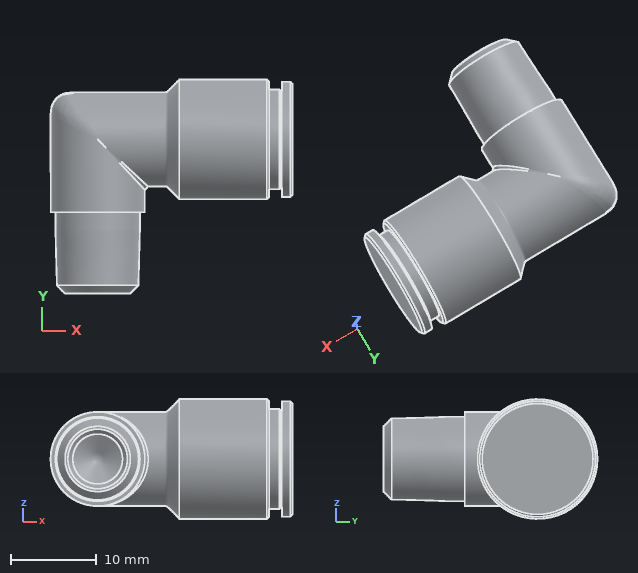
import cadquery as cq
import math

arm_radius = 5.5
corner_round = 0.53
inner_blend = 0.07
shoulder_y = -8.5

stub_end_y = -18.0
stub_root_radius = 4.95
stub_end_radius = 4.77
taper_start_y = -10.65
tip_chamfer = 0.95
tip_radius = stub_end_radius - tip_chamfer

bore_radius = 2.9
mouth_chamfer = 0.56
bore_bottom_y = 0.0
drill_half_angle = math.radians(59)

socket_radius = 7.0
socket_start_x = 9.55
socket_end_x = 20.0
socket_chamfer = 0.25
neck_fillet = 0.48
cone_angle = math.radians(45)
cone_start_x = socket_start_x - (socket_radius - arm_radius)
fillet_start_x = cone_start_x - neck_fillet * math.tan(cone_angle / 2)

collar_end_x = 22.75
collar_neck_radius = 5.85
collar_groove_radius = 5.68
neck_end_x = 21.22
flange_start_x = 21.5
flange_radius = 6.75
flange_chamfer = 0.28


def wedge(*corners):
    """Tall prism over the given XY corners, used to keep one sector of a solid."""
    height = 4 * arm_radius
    return cq.Workplane("XY").polyline(corners).close().extrude(height / 2, both=True)


def outer_corner():
    """Ellipsoid tangent to both arm cylinders, rounding the outside of the bend."""
    long_scale = math.sqrt(1 + corner_round)
    short_scale = math.sqrt(1 - corner_round)
    stretch = cq.Matrix([[long_scale, 0, 0, 0], [0, short_scale, 0, 0], [0, 0, 1, 0]])
    ball = cq.Workplane("XY").sphere(arm_radius).val().transformGeometry(stretch)
    return cq.Workplane(ball).rotate((0, 0, 0), (0, 0, 1), 135)


def inner_corner():
    """Elliptical cylinder square to the mitre, filling the crease inside the bend."""
    reach = arm_radius * (2 + inner_blend) / math.sqrt(2)
    crease_plane = cq.Plane(origin=(0, 0, 0), xDir=(1, -1, 0), normal=(1, 1, 0))
    return cq.Workplane(crease_plane).ellipse(reach, arm_radius).extrude(arm_radius, both=True)


def elbow():
    side = 2 * arm_radius
    center = (0, 0)
    outer_on_x_arm = (-corner_round * side, side)
    outer_on_y_arm = (-side, corner_round * side)
    inner_on_x_arm = ((1 + inner_blend) * side, -side)
    inner_on_y_arm = (side, -(1 + inner_blend) * side)

    x_arm = cq.Workplane("YZ").workplane(offset=-side).circle(arm_radius).extrude(side + fillet_start_x)
    x_arm = x_arm.intersect(wedge(center, outer_on_x_arm, (side, side), inner_on_x_arm))
    y_arm = cq.Workplane("XZ").workplane(offset=-side).circle(arm_radius).extrude(side - shoulder_y)
    y_arm = y_arm.intersect(wedge(center, inner_on_y_arm, (-side, -side), outer_on_y_arm))
    outside = outer_corner().intersect(wedge(center, outer_on_x_arm, (-side, side), outer_on_y_arm))
    inside = inner_corner().intersect(wedge(center, inner_on_x_arm, inner_on_y_arm))

    skin = x_arm.faces("%CYLINDER or >X").vals() + y_arm.faces("%CYLINDER or <Y").vals()
    skin += outside.faces("not %PLANE").vals() + inside.faces("not %PLANE").vals()
    return cq.Workplane(cq.Solid.makeSolid(cq.Shell.makeShell(skin)))


def stub():
    profile = [
        (0, shoulder_y),
        (stub_root_radius, shoulder_y),
        (stub_root_radius, taper_start_y),
        (stub_end_radius, stub_end_y + tip_chamfer),
        (tip_radius, stub_end_y),
        (0, stub_end_y),
    ]
    return cq.Workplane("XY").polyline(profile).close().revolve(360, (0, 0), (0, 1))


def bore():
    profile = [
        (0, stub_end_y),
        (bore_radius + mouth_chamfer, stub_end_y),
        (bore_radius, stub_end_y + mouth_chamfer),
        (bore_radius, bore_bottom_y),
        (0, bore_bottom_y + bore_radius / math.tan(drill_half_angle)),
    ]
    return cq.Workplane("XY").polyline(profile).close().revolve(360, (0, 0), (0, 1))


def socket():
    fillet_rise = neck_fillet * (1 - math.cos(cone_angle))
    fillet_middle = (
        fillet_start_x + neck_fillet * math.sin(cone_angle / 2),
        arm_radius + neck_fillet * (1 - math.cos(cone_angle / 2)),
    )
    fillet_end = (fillet_start_x + neck_fillet * math.sin(cone_angle), arm_radius + fillet_rise)
    groove_x = neck_end_x + collar_neck_radius - collar_groove_radius
    outline = (
        cq.Workplane("XY")
        .moveTo(fillet_start_x, 0)
        .lineTo(fillet_start_x, arm_radius)
        .threePointArc(fillet_middle, fillet_end)
        .lineTo(socket_start_x, socket_radius)
        .lineTo(socket_end_x - socket_chamfer, socket_radius)
        .lineTo(socket_end_x, socket_radius - socket_chamfer)
        .lineTo(socket_end_x, collar_neck_radius)
        .lineTo(neck_end_x, collar_neck_radius)
        .lineTo(groove_x, collar_groove_radius)
        .lineTo(flange_start_x, collar_groove_radius)
        .lineTo(flange_start_x, flange_radius)
        .lineTo(collar_end_x - flange_chamfer, flange_radius)
        .lineTo(collar_end_x, flange_radius - flange_chamfer)
        .lineTo(collar_end_x, 0)
        .close()
    )
    return outline.revolve(360, (0, 0), (1, 0))


result = elbow().union(socket()).union(stub()).cut(bore())